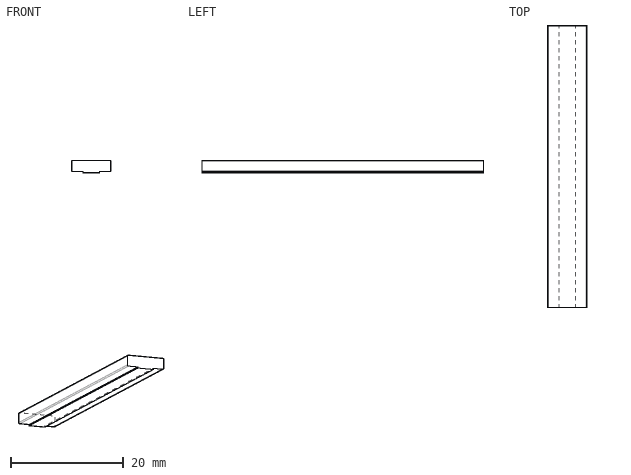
import cadquery as cq

length = 50.0
width = 7.0
total_height = 2.2
strip_width = 3.0
strip_thickness = 0.2
edge_radius = 0.2

body_height = total_height - strip_thickness

bar = (
    cq.Workplane("XY")
    .box(width, length, body_height, centered=(True, True, False))
    .edges("|Y")
    .fillet(edge_radius)
)

strip = (
    cq.Workplane("XY")
    .workplane(offset=-strip_thickness)
    .box(strip_width, length, strip_thickness, centered=(True, True, False))
)

result = bar.union(strip)